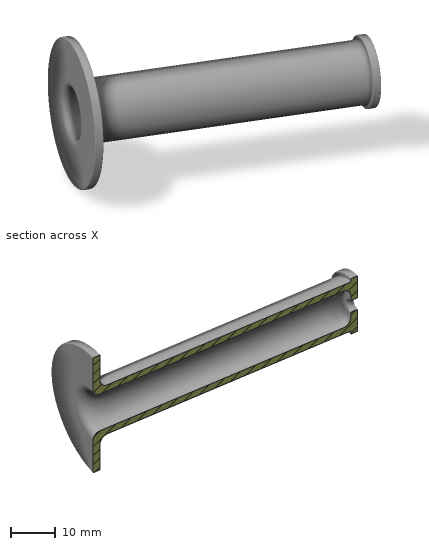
import cadquery as cq

total_length = 71.0
flange_diameter = 35.0
cap_diameter = 17.0
tube_diameter = 15.0
wall = 2.0
screw_hole_diameter = 3.4
edge_round = 0.2

bore_diameter = tube_diameter - 2 * wall
bore_depth = total_length - wall
bore_round = wall
flange_round = wall


def cylinder(diameter, start, length):
    """Cylinder around the Y axis, running from start towards +Y."""
    plane = cq.Workplane("XZ", origin=(0, start, 0))
    return plane.circle(diameter / 2).extrude(-length)


def rounded_disc(diameter, start):
    """Disc of wall thickness with both rims rounded."""
    return cylinder(diameter, start, wall).edges().fillet(edge_round)


def edge_at(diameter, position):
    """Selector for the circular edge of a given diameter at a Y position."""
    reach = diameter / 2 + edge_round / 2
    margin = edge_round / 4
    outer = cq.selectors.BoxSelector(
        (-reach, position - margin, -reach),
        (reach, position + margin, reach),
        boundingbox=True,
    )
    inner_reach = diameter / 2 - edge_round / 2
    inner = cq.selectors.BoxSelector(
        (-inner_reach, position - margin, -inner_reach),
        (inner_reach, position + margin, inner_reach),
        boundingbox=True,
    )
    return outer - inner


cap_start = total_length - wall
spool = rounded_disc(flange_diameter, 0)
spool = spool.union(cylinder(tube_diameter, 0, total_length - wall / 2))
spool = spool.union(rounded_disc(cap_diameter, cap_start))
spool = spool.edges(edge_at(tube_diameter, wall)).fillet(flange_round)
spool = spool.edges(edge_at(tube_diameter, cap_start)).fillet(edge_round)

spool = spool.cut(cylinder(bore_diameter, 0, bore_depth))
spool = spool.edges(edge_at(bore_diameter, 0)).fillet(bore_round)
spool = spool.edges(edge_at(bore_diameter, bore_depth)).fillet(bore_round)

spool = spool.cut(cylinder(screw_hole_diameter, 0, total_length))
for rim_position in (bore_depth, total_length):
    spool = spool.edges(edge_at(screw_hole_diameter, rim_position)).fillet(edge_round)

result = spool